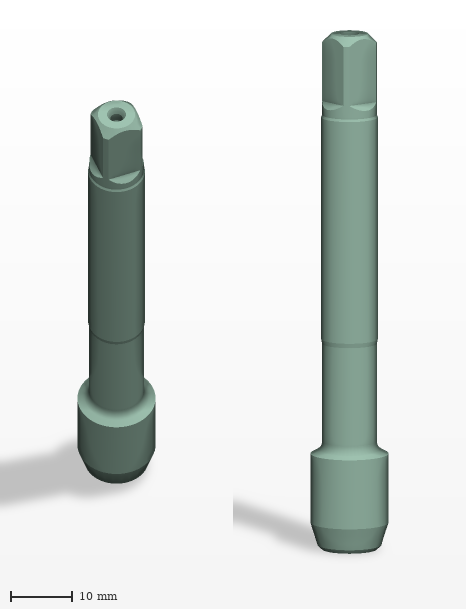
import cadquery as cq
import math

total_length = 85.85

head_radius = 12.82 / 2
head_length = 15.9
taper_top = 4.4
taper_bottom = 0.7
taper_bottom_radius = 5.25
tip_radius = 4.55

neck_radius = 9.02 / 2
shank_radius = 9.32 / 2
shank_bottom = 35.0
neck_taper_length = 0.75
shank_top = 71.95
shank_chamfer_length = 0.4

cone_angle = math.radians(60)
shoulder_fillet = 1.5

drive_radius = 8.95 / 2
square_width = 6.99
flat_count = 4
square_bottom = 74.6
drive_top_radius = 3.05

center_hole_radius = 2.0 / 2
center_mouth_radius = 3.1 / 2
center_hole_depth = 2.5
countersink_half_angle = math.radians(30)
drill_half_angle = math.radians(60)


def make_head():
    """Cylinder with a tapered lead and a small end chamfer."""
    profile = (
        cq.Workplane("XZ")
        .moveTo(0, 0)
        .lineTo(tip_radius, 0)
        .lineTo(taper_bottom_radius, taper_bottom)
        .lineTo(head_radius, taper_top)
        .lineTo(head_radius, head_length)
        .lineTo(0, head_length)
        .close()
    )
    return profile.revolve(360, (0, 0, 0), (0, 1, 0))


def make_turned_shank():
    """Shoulder, neck, shank and drive end as one turned shape."""
    arc_width = shoulder_fillet * (1 - math.cos(cone_angle))
    arc_height = shoulder_fillet * math.sin(cone_angle)
    cone_end_radius = neck_radius + arc_width
    cone_end = head_length + (head_radius - cone_end_radius) / math.tan(cone_angle)
    arc_end = cone_end + arc_height
    half_angle = cone_angle / 2
    arc_middle = (
        neck_radius + shoulder_fillet * (1 - math.cos(half_angle)),
        arc_end - shoulder_fillet * math.sin(half_angle),
    )
    drive_chamfer = drive_radius - drive_top_radius
    profile = (
        cq.Workplane("XZ")
        .moveTo(0, head_length)
        .lineTo(head_radius, head_length)
        .lineTo(cone_end_radius, cone_end)
        .threePointArc(arc_middle, (neck_radius, arc_end))
        .lineTo(neck_radius, shank_bottom - neck_taper_length)
        .lineTo(shank_radius, shank_bottom)
        .lineTo(shank_radius, shank_top)
        .lineTo(drive_radius, shank_top + shank_chamfer_length)
        .lineTo(drive_radius, total_length - drive_chamfer)
        .lineTo(drive_top_radius, total_length)
        .lineTo(0, total_length)
        .close()
    )
    return profile.revolve(360, (0, 0, 0), (0, 1, 0))


def make_flat_cutter():
    """Wedge that mills one flat on the +X side, with a 45 degree run-out."""
    flat = square_width / 2
    reach = shank_radius
    profile = (
        cq.Workplane("XZ")
        .moveTo(flat, square_bottom)
        .lineTo(reach, square_bottom - (reach - flat))
        .lineTo(reach, total_length)
        .lineTo(flat, total_length)
        .close()
    )
    return profile.extrude(shank_radius, both=True)


def make_center_hole():
    """Countersunk blind hole with a drill point."""
    countersink_depth = (center_mouth_radius - center_hole_radius) / math.tan(countersink_half_angle)
    hole_end = total_length - center_hole_depth
    point_depth = center_hole_radius / math.tan(drill_half_angle)
    profile = (
        cq.Workplane("XZ")
        .moveTo(0, total_length)
        .lineTo(center_mouth_radius, total_length)
        .lineTo(center_hole_radius, total_length - countersink_depth)
        .lineTo(center_hole_radius, hole_end)
        .lineTo(0, hole_end - point_depth)
        .close()
    )
    return profile.revolve(360, (0, 0, 0), (0, 1, 0))


def make_shank():
    """Turned shank with four flats and a centre hole."""
    shank = make_turned_shank()
    flat_cutter = make_flat_cutter()
    for turn in range(flat_count):
        shank = shank.cut(flat_cutter.rotate((0, 0, 0), (0, 0, 1), turn * 360 / flat_count))
    return shank.cut(make_center_hole())


head = make_head()
shank = make_shank()

result = cq.Compound.makeCompound([head.val(), shank.val()])